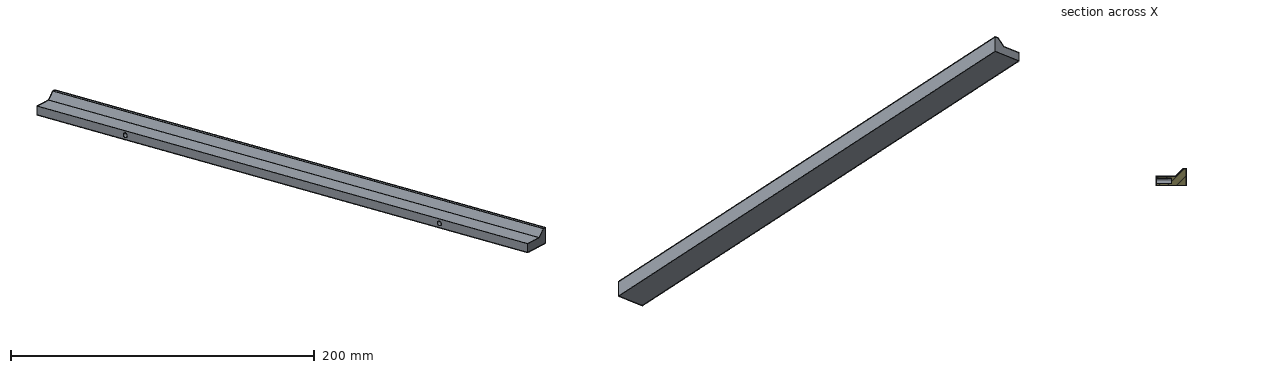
import cadquery as cq

length = 400.0
width = 20.0
height = 11.0

base_thickness = 6.5
lip_top_width = 2.5
lip_foot_width = 7.0

hole_diameter = 3.0
hole_depth = 10.0
hole_end_distance = 72.0
hole_height = base_thickness / 2


def make_strip():
    """Extrude the lipped cross-section along X; the front face is at Y = 0."""
    section = [
        (0, 0),
        (width, 0),
        (width, height),
        (width - lip_top_width, height),
        (width - lip_foot_width, base_thickness),
        (0, base_thickness),
    ]
    return cq.Workplane("YZ").polyline(section).close().extrude(length)


def make_hole(x):
    """Flat-bottomed cylinder entering the front face at the given X."""
    return (
        cq.Workplane("XZ")
        .center(x, hole_height)
        .circle(hole_diameter / 2)
        .extrude(-hole_depth)
    )


result = make_strip()
for hole_x in (hole_end_distance, length - hole_end_distance):
    result = result.cut(make_hole(hole_x))